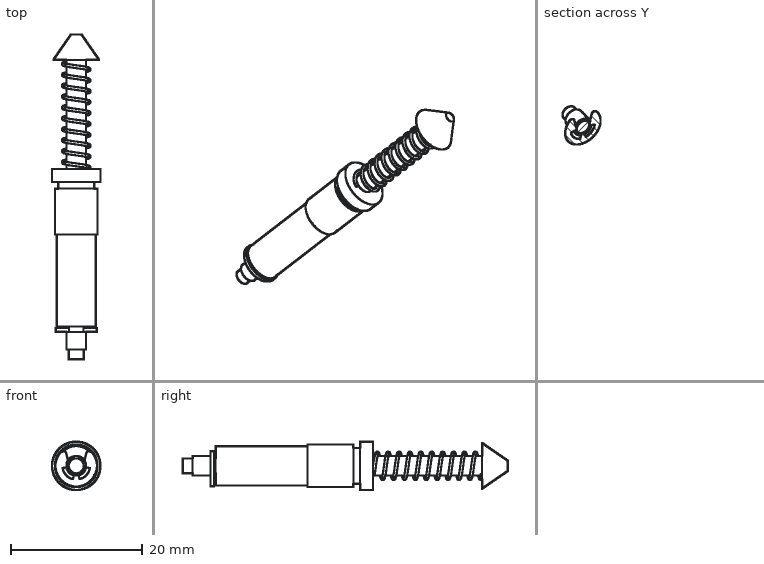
import cadquery as cq
import math


TAIL_STEP_Y = 1.5
CLIP_FRONT_Y = 4.2
BARREL_START_Y = 5.0
BARREL_STEP_Y = 19.0
NECK_START_Y = 26.0
FLANGE_START_Y = 27.0
FLANGE_END_Y = 29.0
CONE_BASE_Y = 45.6
CONE_TIP_Y = 49.5

TAIL_R = 1.15
SHAFT_R = 1.5
GROOVE_R = 1.15
BARREL_R = 3.0
COLLAR_R = 3.25
NECK_R = 2.75
FLANGE_R = 3.7
CONE_BASE_R = 3.5
CONE_TIP_R = 0.8

WIRE_R = 0.225
SPRING_CLEARANCE = 0.2
COIL_R = SHAFT_R + SPRING_CLEARANCE + WIRE_R
SPRING_TURNS = 10
SPRING_LENGTH = CONE_BASE_Y - FLANGE_END_Y
SPRING_PITCH = SPRING_LENGTH / SPRING_TURNS
SPRING_START_ANGLE = 45.0

CLIP_R = 3.15
CLIP_THICKNESS = 0.6
CLIP_TIP_FILLET = 0.5
MOUTH_HALF_WIDTH = 1.07
MOUTH_SLOPE = 0.24
RELIEF_R = 2.1
RELIEF_START_ANGLE = 9.0
RELIEF_END_ANGLE = 76.0


def make_turned_probe():
    """Tail, clip groove, barrel, flange, shaft and cone, revolved about Y."""
    profile = [
        (0, 0),
        (TAIL_R, 0),
        (TAIL_R, TAIL_STEP_Y),
        (SHAFT_R, TAIL_STEP_Y),
        (SHAFT_R, CLIP_FRONT_Y),
        (GROOVE_R, CLIP_FRONT_Y),
        (GROOVE_R, BARREL_START_Y),
        (BARREL_R, BARREL_START_Y),
        (BARREL_R, BARREL_STEP_Y),
        (COLLAR_R, BARREL_STEP_Y),
        (COLLAR_R, NECK_START_Y),
        (NECK_R, NECK_START_Y),
        (NECK_R, FLANGE_START_Y),
        (FLANGE_R, FLANGE_START_Y),
        (FLANGE_R, FLANGE_END_Y),
        (SHAFT_R, FLANGE_END_Y),
        (SHAFT_R, CONE_BASE_Y),
        (CONE_BASE_R, CONE_BASE_Y),
        (CONE_TIP_R, CONE_TIP_Y),
        (0, CONE_TIP_Y),
    ]
    return cq.Workplane("XY").polyline(profile).close().revolve(360, (0, 0, 0), (0, 1, 0))


def make_spring():
    """Left-handed round-wire spring from the flange to the cone."""
    helix = cq.Wire.makeHelix(SPRING_PITCH, SPRING_LENGTH, COIL_R, lefthand=True)
    wire = cq.Workplane("XZ").center(COIL_R, 0).circle(WIRE_R).sweep(helix, isFrenet=True)
    along_y = wire.rotate((0, 0, 0), (1, 0, 0), -90)
    turned = along_y.rotate((0, 0, 0), (0, 1, 0), SPRING_START_ANGLE)
    return turned.translate((0, FLANGE_END_Y, 0))


def clip_plane():
    """XZ sketch plane on the back of the clip; extruding goes toward -Y."""
    return cq.Workplane("XZ", origin=(0, CLIP_FRONT_Y + CLIP_THICKNESS, 0))


def relief_point(side, angle):
    """Point on the relief's outer arc, the angle in degrees below horizontal."""
    x = RELIEF_R * math.cos(math.radians(angle))
    depth = RELIEF_R * math.sin(math.radians(angle))
    return (side * x, -depth)


def relief_sector(side):
    """Sector that cuts a relief below the axis; side is +1 for +X and -1 for -X."""
    start = relief_point(side, RELIEF_START_ANGLE)
    middle = relief_point(side, (RELIEF_START_ANGLE + RELIEF_END_ANGLE) / 2)
    end = relief_point(side, RELIEF_END_ANGLE)
    return clip_plane().lineTo(*start).threePointArc(middle, end).close().extrude(CLIP_THICKNESS)


def make_clip():
    """E-clip with its mouth toward +Z, seated in the shaft groove."""
    disc = clip_plane().circle(CLIP_R).extrude(CLIP_THICKNESS)
    mouth_top = MOUTH_HALF_WIDTH + MOUTH_SLOPE * CLIP_R
    mouth = (
        clip_plane()
        .polyline([
            (-MOUTH_HALF_WIDTH, 0),
            (MOUTH_HALF_WIDTH, 0),
            (mouth_top, CLIP_R),
            (-mouth_top, CLIP_R),
        ])
        .close()
        .extrude(CLIP_THICKNESS)
    )
    clip = disc.cut(mouth).edges("|Y").edges(">Z").fillet(CLIP_TIP_FILLET)
    for side in (-1, 1):
        clip = clip.cut(relief_sector(side))
    bore = clip_plane().circle(GROOVE_R).extrude(CLIP_THICKNESS)
    return clip.cut(bore)


probe = make_turned_probe().union(make_spring())
clip = make_clip()

result = cq.Compound.makeCompound([probe.val(), clip.val()])